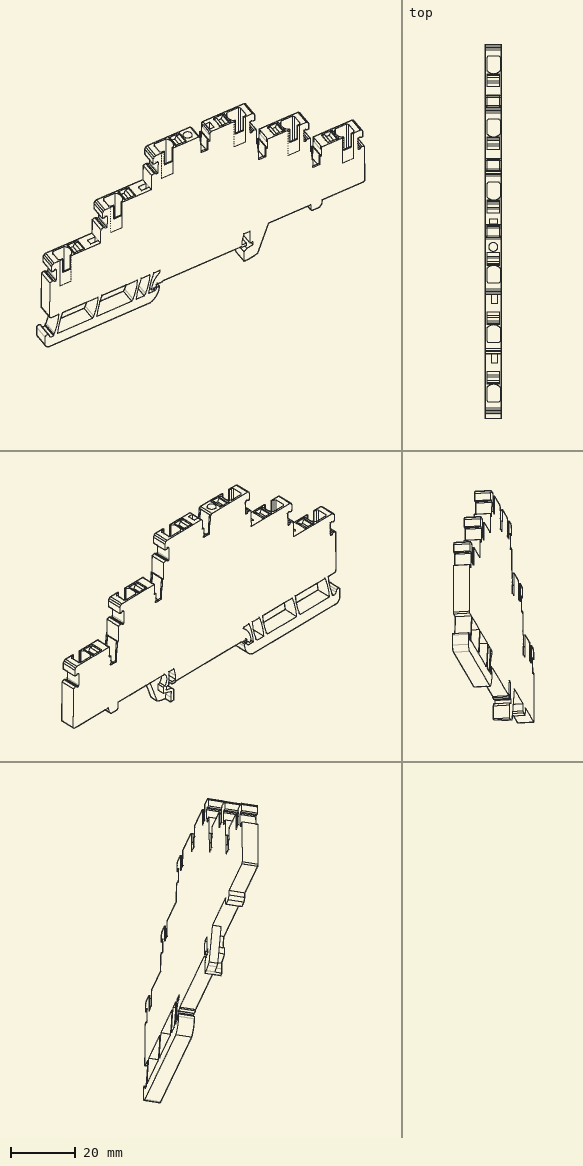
import cadquery as cq

THICKNESS = 5.1
HALF = THICKNESS / 2

BASE_Z = 12.5
TIER_TOPS = [36.1, 49.9, 64.1]
TIERS = len(TIER_TOPS)
LEFT_WALL = 57.8
LEFT_STEP = 19.5
RIGHT_WALL = -56.2
RIGHT_STEP = 18.4
BASE_CHAMFER = 0.5

HOOK = [
    (0.1, 8.0), (1.0, 7.6), (1.5, 7.7), (1.7, 8.2), (2.3, 8.2), (2.4, 7.7),
    (2.5, 3.6), (2.3, 3.2), (1.8, 3.1), (1.4, 3.5), (0.7, 3.4), (0.7, 1.0), (1.0, 0.3), (1.6, 0.0),
]

SLOT = [
    (1.7, 0.0), (1.7, 3.9), (1.2, 3.9), (1.2, 7.4),
    (-1.4, 7.4), (-1.4, 3.9), (-1.5, 3.9), (-1.8, 0.0),
]
SLOT_CENTRES = [40.3, 20.8, 0.0]
SLOT_CHANNEL = [(1.8, 0.0), (1.2, 8.5), (-1.4, 8.5), (-1.8, 0.0)]
SLOT_MOUTH = [(2.2, 0.0), (1.7, 0.5), (-1.8, 0.5), (-2.3, 0.0)]

POCKET_HALF = 2.0
WIRE_START = 3.5
WIRE_LENGTH = 5.5
WIRE_CORNER = 0.5
WIRE_NOSE = 1.0
WIRE_WALL = 0.3
WIRE_DEPTH = 11.6
WIRE_BREAKOUT_MARGIN = 1.4
WIRE_BREAKOUT_DEPTH = 5.8
RELEASE = [
    (9.0, 0.0), (9.2, 0.5), (9.6, 0.5), (10.2, 1.6), (11.2, 1.7), (11.8, 0.6), (13.0, 0.6), (13.0, 0.0),
]

TEST_DEPTH = 4.6
TEST_LENGTH = 2.8
TEST_WIDTH = 1.8
TEST_X = 0.3
TOP_TEST_WIDTH = 2.5
TOP_TEST_LENGTH = 1.6
TOP_TEST_Y = 3.1
TOP_TEST_X = 0.1
ROUND_TEST_Y = -4.7
ROUND_TEST_DIAMETER = 2.8

RAIL_Z = 7.3
FOOT_TOP = 4.3
ARM_RECESS = 2.3
STRUT_PLACES = [-18.5, -23.0, -37.2, -51.4]


def left_wall(tier):
    return LEFT_WALL - tier * LEFT_STEP


def right_wall(tier):
    return RIGHT_WALL + tier * RIGHT_STEP


def plate(outline):
    """Full-thickness plate from a closed outline of (y, z) points."""
    return cq.Workplane("YZ").polyline(outline).close().extrude(HALF, both=True)


def sunk(profile, origin, direction, top, half_width):
    """Cutter from a profile of (distance from origin along Y, depth below top)."""
    outline = [(origin + direction * offset, top - drop) for offset, drop in profile]
    return cq.Workplane("YZ").polyline(outline).close().extrude(half_width, both=True)


def box(x_min, x_max, y_min, y_max, z_min, z_max):
    return cq.Workplane("XY").box(
        x_max - x_min, y_max - y_min, z_max - z_min, centered=False
    ).translate((x_min, y_min, z_min))


def tier_places():
    """Wall position, inward Y direction and top height of all six tier ends."""
    for tier in range(TIERS):
        yield left_wall(tier), -1, TIER_TOPS[tier]
        yield right_wall(tier), 1, TIER_TOPS[tier]


def side_outline(wall_at, inward):
    """Stepped edge from the base up to the highest tier."""
    wall = wall_at(0)
    points = [(wall + inward * BASE_CHAMFER, BASE_Z), (wall, BASE_Z + BASE_CHAMFER)]
    for tier in range(TIERS):
        wall = wall_at(tier)
        top = TIER_TOPS[tier]
        if tier > 0:
            points.append((wall, TIER_TOPS[tier - 1]))
        points += [(wall + inward * offset, top - drop) for offset, drop in HOOK]
    return points


def housing():
    left = side_outline(left_wall, -1)
    right = side_outline(right_wall, 1)
    body = plate(left + right[::-1])
    for tier, centre in enumerate(SLOT_CENTRES):
        body = body.cut(sunk(SLOT, centre, 1, TIER_TOPS[tier], HALF))
        body = body.cut(sunk(SLOT_CHANNEL, centre, 1, TIER_TOPS[tier], POCKET_HALF))
    mouth = sunk(SLOT_MOUTH, SLOT_CENTRES[-1], 1, TIER_TOPS[-1], HALF)
    return body.cut(mouth)


def wire_entry(wall, inward, top):
    """Shaft with an arched inner end whose upper part is open through the +X face."""
    start = wall + inward * WIRE_START
    end = start + inward * WIRE_LENGTH
    shoulder = end - inward * WIRE_NOSE
    corner = start + inward * WIRE_CORNER
    x_max = HALF - WIRE_WALL
    shaft = (
        cq.Workplane("XY").workplane(offset=top)
        .moveTo(-POCKET_HALF + WIRE_CORNER, start).lineTo(-POCKET_HALF, corner)
        .lineTo(-POCKET_HALF, shoulder)
        .threePointArc(((x_max - POCKET_HALF) / 2, end), (x_max, shoulder))
        .lineTo(x_max, corner).lineTo(x_max - WIRE_CORNER, start)
        .close().extrude(-WIRE_DEPTH)
    )
    near, far = sorted((start + inward * WIRE_BREAKOUT_MARGIN, end - inward * WIRE_BREAKOUT_MARGIN))
    return shaft.union(box(0, HALF, near, far, top - WIRE_BREAKOUT_DEPTH, top))


def test_openings():
    """Square openings at the -Y tier roots, plus a square and a round one in the top tier."""
    top = TIER_TOPS[-1]
    openings = (
        cq.Workplane("XY").workplane(offset=top).center(0, ROUND_TEST_Y)
        .circle(ROUND_TEST_DIAMETER / 2).extrude(-TEST_DEPTH)
    )
    openings = openings.union(
        cq.Workplane("XY").workplane(offset=top).center(TOP_TEST_X, TOP_TEST_Y)
        .rect(TOP_TEST_WIDTH, TOP_TEST_LENGTH).extrude(-TEST_DEPTH)
    )
    for tier in range(TIERS - 1):
        root = right_wall(tier + 1)
        level = TIER_TOPS[tier]
        openings = openings.union(
            box(
                TEST_X - TEST_WIDTH / 2, TEST_X + TEST_WIDTH / 2,
                root - TEST_LENGTH, root, level - TEST_DEPTH, level,
            )
        )
    return openings


def peg():
    return plate([
        (42.4, BASE_Z), (42.3, 10.9), (41.4, 9.7), (38.8, 9.7), (38.3, 10.2), (38.3, BASE_Z),
    ])


def latch_arm():
    """Sloping arm on the +Y side of the rail; its web is set back from the -X face behind a rim."""
    arm = plate([
        (23.0, BASE_Z), (19.1, 1.3), (17.8, 0.8), (15.6, 0.3), (14.1, 0.3), (14.1, 4.5),
        (15.1, 5.5), (17.3, 6.0), (17.3, 7.3), (16.3, 7.3), (16.3, BASE_Z),
    ])
    recess = (
        cq.Workplane("YZ", origin=(-HALF, 0, 0))
        .moveTo(18.0, BASE_Z).threePointArc((17.2, 9.8), (18.0, 8.0))
        .lineTo(18.7, 7.7).lineTo(18.7, 5.4).lineTo(15.3, 4.3).lineTo(15.4, 2.1)
        .lineTo(15.6, 0).lineTo(23.7, 0).lineTo(23.7, BASE_Z)
        .close().extrude(ARM_RECESS)
    )
    return arm.cut(recess)


def rail_pad():
    """Raised seat over the rail, with a lip at its +Y end and a curved finger at its -Y end."""
    outline = (
        cq.Workplane("YZ")
        .moveTo(14.1, BASE_Z).lineTo(13.4, 9.5).lineTo(13.4, 8.0).lineTo(14.9, 8.0)
        .lineTo(14.9, 6.9).lineTo(13.4, 6.9).lineTo(13.2, RAIL_Z)
        .lineTo(-15.1, RAIL_Z).lineTo(-15.4, 6.9).lineTo(-16.9, 6.9).lineTo(-17.2, RAIL_Z)
        .lineTo(-17.6, 6.8).lineTo(-17.6, 6.0).lineTo(-18.3, 5.7).lineTo(-18.6, 5.2)
        .lineTo(-19.3, 5.3).threePointArc((-18.4, 9.1), (-16.2, 11.8)).lineTo(-16.2, BASE_Z)
        .close()
    )
    return outline.extrude(HALF, both=True)


def strut(place):
    """Slanted strut, waisted by its curved sides, from the base down to the foot."""
    return (
        cq.Workplane("YZ", origin=(0, place, 0))
        .moveTo(0, BASE_Z).threePointArc((-1.3, 8.1), (-1.8, FOOT_TOP))
        .lineTo(-3.5, FOOT_TOP).lineTo(-3.0, 5.0)
        .threePointArc((-2.0, 8.4), (-1.4, BASE_Z)).close().extrude(HALF, both=True)
    )


def foot():
    """Long bar below the -Y side of the base, hung from four slanted struts."""
    bar = (
        cq.Workplane("YZ")
        .moveTo(-20.1, 4.5).lineTo(-18.0, 4.5).lineTo(-17.6, 5.1).lineTo(-17.3, 5.7)
        .lineTo(-16.5, 5.7).lineTo(-16.5, 4.7)
        .threePointArc((-17.7, 1.7), (-19.8, 0)).lineTo(-55.9, 0)
        .threePointArc((-57.2, 0.5), (-57.8, 1.7)).lineTo(-57.8, 5.0)
        .threePointArc((-57.1, 5.7), (-56.4, 5.3)).lineTo(-56.2, 4.6)
        .threePointArc((-55.4, 3.9), (-54.5, FOOT_TOP)).lineTo(-54.3, FOOT_TOP)
        .lineTo(-21.5, FOOT_TOP).close().extrude(HALF, both=True)
    )
    for place in STRUT_PLACES:
        bar = bar.union(strut(place))
    return bar


result = housing()
for wall, inward, top in tier_places():
    result = result.cut(wire_entry(wall, inward, top))
    result = result.cut(sunk(RELEASE, wall, inward, top, POCKET_HALF))
result = result.cut(test_openings())
for attachment in (peg(), latch_arm(), rail_pad(), foot()):
    result = result.union(attachment)